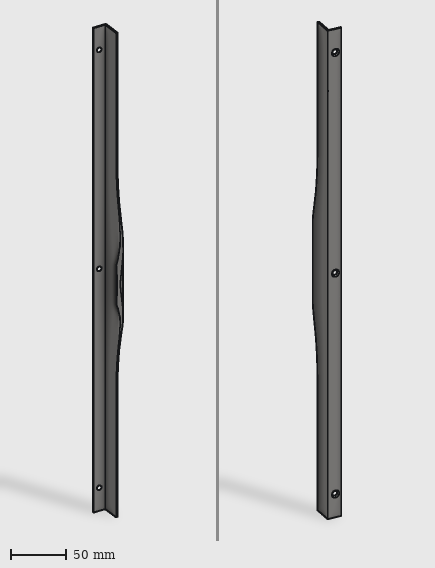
import cadquery as cq
import math

length = 496.0
overall_width = 37.0
leg_depth = 14.0
thickness = 1.5
plain_width = 20.5
flat_width = 23.5
trim_allowance = 0.5
lip_drop = 11.0
grip_half_length = 111.5
crest_radius = 144.0
corner_radius = 1.0
hole_diameter = 3.5
countersink_diameter = 7.5
countersink_angle = 90.0
hole_from_back = 8.0
hole_spacing = 224.0

half_length = length / 2


def make_profile():
    """Angle section with its back at Y = 0 and a curled front edge, along Z."""
    tip_x = overall_width + trim_allowance
    inner_width = overall_width - thickness - flat_width
    inner_drop = lip_drop - thickness
    inner_radius = (inner_width**2 + inner_drop**2) / (2 * inner_drop)
    half_sweep = math.asin(inner_width / inner_radius) / 2
    inner_middle = (
        flat_width + inner_radius * math.sin(half_sweep),
        -thickness - inner_radius * (1 - math.cos(half_sweep)),
    )
    arc_start_x = tip_x - lip_drop
    arc_middle_offset = lip_drop * (1 - math.sqrt(0.5))
    section = (
        cq.Workplane("XY")
        .moveTo(0, 0)
        .lineTo(arc_start_x, 0)
        .threePointArc((tip_x - arc_middle_offset, -arc_middle_offset), (tip_x, -lip_drop))
        .lineTo(overall_width - thickness, -lip_drop)
        .threePointArc(inner_middle, (flat_width, -thickness))
        .lineTo(thickness, -thickness)
        .lineTo(thickness, -leg_depth)
        .lineTo(0, -leg_depth)
        .close()
    )
    return section.extrude(half_length, both=True)


def make_front_outline():
    """Trimming block: a straight strip with an S-curved swell at mid-length."""
    swell = overall_width - plain_width
    radius_sum = (swell**2 + grip_half_length**2) / (2 * swell)
    crest_share = crest_radius / radius_sum
    foot_radius = radius_sum - crest_radius
    join_x = overall_width - crest_share * swell
    join_z = crest_share * grip_half_length
    half_angle = math.asin(join_z / crest_radius) / 2
    foot_x = plain_width + foot_radius * (1 - math.cos(half_angle))
    foot_z = grip_half_length - foot_radius * math.sin(half_angle)
    outline = (
        cq.Workplane("XZ")
        .moveTo(0, -half_length)
        .lineTo(plain_width, -half_length)
        .lineTo(plain_width, -grip_half_length)
        .threePointArc((foot_x, -foot_z), (join_x, -join_z))
        .threePointArc((overall_width, 0), (join_x, join_z))
        .threePointArc((foot_x, foot_z), (plain_width, grip_half_length))
        .lineTo(plain_width, half_length)
        .lineTo(0, half_length)
        .close()
        .extrude(leg_depth)
    )
    front_corners = outline.edges("|Y").edges(
        cq.selectors.BoxSelector(
            (plain_width / 2, -leg_depth, -length),
            (overall_width, 0, length),
        )
    )
    return front_corners.edges("<Z or >Z").fillet(corner_radius)


def cut_holes(body):
    """Countersunk screw holes through the leg, entered from its outer side."""
    cone_depth = (countersink_diameter / 2) / math.tan(math.radians(countersink_angle / 2))
    into_leg = cq.Vector(1, 0, 0)
    for row in (-1, 0, 1):
        entry = cq.Vector(0, -hole_from_back, row * hole_spacing)
        drill = cq.Solid.makeCylinder(hole_diameter / 2, thickness, entry, into_leg)
        cone = cq.Solid.makeCone(countersink_diameter / 2, 0, cone_depth, entry, into_leg)
        body = body.cut(cq.Workplane(drill)).cut(cq.Workplane(cone))
    return body


result = cut_holes(make_profile().intersect(make_front_outline()))